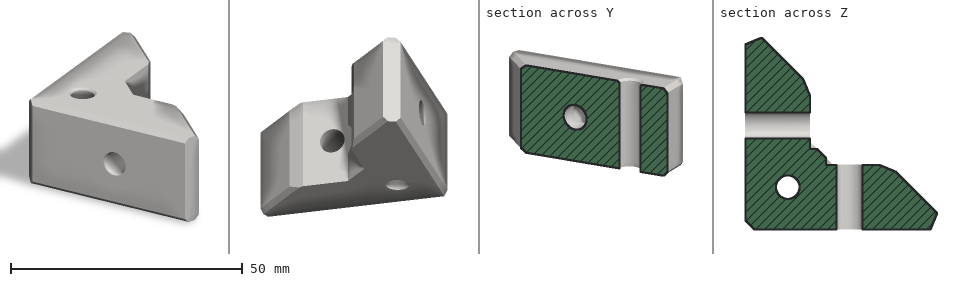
import cadquery as cq
import math

leg_length = 45.0
leg_thickness = 14.0
height = 20.0

heel_chamfer = 2.0
inner_chamfer = 5.0
tip_chamfer = 5.0
shoulder_chamfer = 2.0
face_bevel = 1.0

upright_hole_diameter = 5.0
upright_hole_countersink_diameter = 6.0
upright_hole_distance = 13.0

screw_hole_diameter = 5.5
screw_hole_distance = leg_length / 2
spotface_diameter = 10.0

diagonal = math.sqrt(0.5)
shoulder = leg_length - leg_thickness
upright_hole_offset = upright_hole_distance * diagonal


def make_outline_prism():
    """L-shaped prism, symmetric about the X = Y plane, with its corners cut off."""
    x_leg = [
        (heel_chamfer, 0),
        (leg_length - tip_chamfer, 0),
        (leg_length - tip_chamfer * diagonal, tip_chamfer * diagonal),
        (
            shoulder + shoulder_chamfer * diagonal,
            leg_thickness - shoulder_chamfer * diagonal,
        ),
        (shoulder - shoulder_chamfer, leg_thickness),
        (leg_thickness + inner_chamfer, leg_thickness),
    ]
    y_leg = [(y, x) for x, y in reversed(x_leg)]
    return cq.Workplane("XY").polyline(x_leg + y_leg).close().extrude(height)


def make_bevelled_envelope():
    """Triangular prism on the two outer faces and the end faces, bevelled top and bottom."""
    triangle = [(0, 0), (leg_length, 0), (0, leg_length)]
    prism = cq.Workplane("XY").polyline(triangle).close().extrude(height)
    return prism.faces("<Z or >Z").chamfer(face_bevel)


def make_upright_hole():
    """Vertical through hole, countersunk at 45 degrees on the top face."""
    countersink_depth = (upright_hole_countersink_diameter - upright_hole_diameter) / 2
    hole = cq.Workplane("XY").circle(upright_hole_diameter / 2).extrude(height)
    countersink = (
        cq.Workplane("XY", origin=(0, 0, height - countersink_depth))
        .circle(upright_hole_diameter / 2)
        .workplane(offset=countersink_depth)
        .circle(upright_hole_countersink_diameter / 2)
        .loft()
    )
    return hole.union(countersink).translate((upright_hole_offset, upright_hole_offset, 0))


def make_screw_hole(center, direction):
    """Horizontal hole through one leg, with head clearance beyond its inner face."""
    start = cq.Vector(*center)
    axis = cq.Vector(*direction)
    hole = cq.Solid.makeCylinder(screw_hole_diameter / 2, leg_thickness, start, axis)
    seat = start + axis * leg_thickness
    clearance = cq.Solid.makeCylinder(spotface_diameter / 2, leg_thickness, seat, axis)
    return hole.fuse(clearance)


result = make_outline_prism().intersect(make_bevelled_envelope())
result = result.cut(make_upright_hole())
result = result.cut(make_screw_hole((screw_hole_distance, 0, height / 2), (0, 1, 0)))
result = result.cut(make_screw_hole((0, screw_hole_distance, height / 2), (1, 0, 0)))